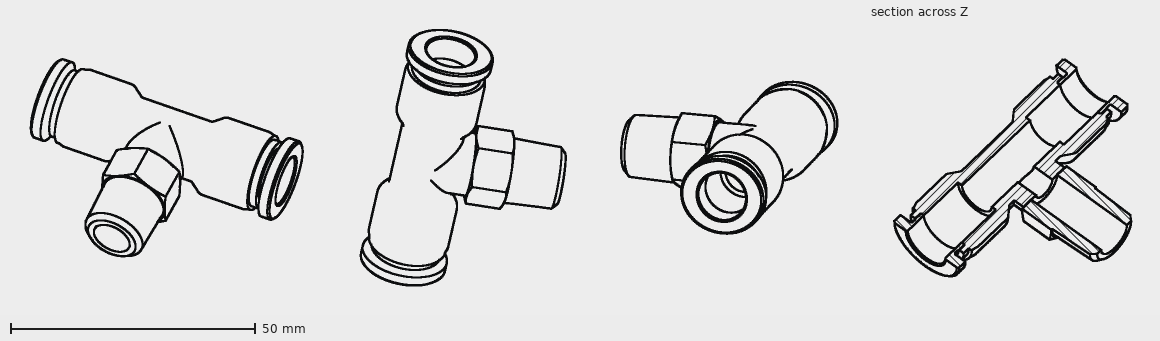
import cadquery as cq
import math


OVERALL_LENGTH = 53.4
HALF_LENGTH = OVERALL_LENGTH / 2
TEE_DIA = 13.0
SOCKET_DIA = 16.7
SOCKET_END_DIA = 16.1
SOCKET_NOSE_DIA = 14.4
TEE_HALF_LENGTH = 8.0
SHOULDER_X = 10.5
SHOULDER_FILLET = 1.05
END_TAPER_START_X = 20.0
END_TAPER_FINISH_X = 21.05
SOCKET_END_X = 21.5
NOSE_END_X = 23.1

FLOW_BORE_DIA = 8.0
TUBE_BORE_DIA = 10.2
TUBE_STOP_X = 10.7
BRANCH_BORE_DIA = 5.0

COLLET_LENGTH = 5.35
COLLET_BORE_DIA = 10.15
COLLET_NECK_DIA = 11.7
COLLET_ENTRY_CHAMFER = 0.3
FLANGE_WIDTH_Y = 17.6
FLANGE_HEIGHT_Z = 16.1
FLANGE_THICKNESS = 2.35
FLANGE_CHAMFER = 0.4
FLANGE_ROOT_FILLET = 0.15
COLLET_INNER_X = HALF_LENGTH - COLLET_LENGTH

STUD_BACK = 9.0
HEX_LENGTH = 7.9
STUD_LENGTH = 18.9
HEX_ACROSS_FLATS = 14.0
HEX_HALF_SIDE_ANGLE = 180 / 6
HEX_ACROSS_CORNERS = HEX_ACROSS_FLATS / math.cos(math.radians(HEX_HALF_SIDE_ANGLE))
HEX_CHAMFER_LENGTH = 0.45
THREAD_BASE_DIA = 13.45
THREAD_TIP_DIA = 12.8
STUD_TIP_CHAMFER = 1.05
STUD_BORE_DIA = 8.0


def cylinder_along_x(diameter, start_x, end_x):
    """Solid cylinder on the run axis between two X positions."""
    return cq.Workplane("YZ", origin=(start_x, 0, 0)).circle(diameter / 2).extrude(end_x - start_x)


def cylinder_along_branch(diameter, start, length):
    """Solid cylinder on the branch axis, beginning `start` from the run axis and pointing to -Y."""
    return cq.Workplane("XZ", origin=(0, -start, 0)).circle(diameter / 2).extrude(length)


def make_run():
    """Outside of the run: tee tube between two shouldered sockets with tapered ends and noses."""
    right_side = [
        (TEE_HALF_LENGTH, TEE_DIA / 2),
        (SHOULDER_X, SOCKET_DIA / 2),
        (END_TAPER_START_X, SOCKET_DIA / 2),
        (END_TAPER_FINISH_X, SOCKET_END_DIA / 2),
        (SOCKET_END_X, SOCKET_END_DIA / 2),
        (SOCKET_END_X, SOCKET_NOSE_DIA / 2),
        (NOSE_END_X, SOCKET_NOSE_DIA / 2),
        (NOSE_END_X, 0),
    ]
    left_side = [(-x, radius) for x, radius in reversed(right_side)]
    run = cq.Workplane("XY").polyline(left_side + right_side).close().revolve(360, (0, 0, 0), (1, 0, 0))
    mid_socket_x = (SHOULDER_X + END_TAPER_START_X) / 2
    shoulders = cq.selectors.BoxSelector(
        (-mid_socket_x, -SOCKET_DIA, -SOCKET_DIA),
        (mid_socket_x, SOCKET_DIA, SOCKET_DIA),
        boundingbox=True,
    )
    return run.edges("%CIRCLE").edges(shoulders).fillet(SHOULDER_FILLET)


def make_housing():
    """Tee housing with collet recesses, tube sockets and flow bores."""
    body = make_run().union(cylinder_along_branch(TEE_DIA, 0, STUD_BACK))
    body = body.cut(cylinder_along_x(FLOW_BORE_DIA, -HALF_LENGTH, HALF_LENGTH))
    body = body.cut(cylinder_along_branch(BRANCH_BORE_DIA, 0, STUD_BACK))
    for side in (-1, 1):
        body = body.cut(cylinder_along_x(TUBE_BORE_DIA, side * TUBE_STOP_X, side * HALF_LENGTH))
        body = body.cut(cylinder_along_x(COLLET_NECK_DIA, side * COLLET_INNER_X, side * HALF_LENGTH))
    return body


def make_collet(side):
    """Release collet on one end of the run: oval flange on a round neck, bored for the tube."""
    root_x = HALF_LENGTH - FLANGE_THICKNESS
    flange = (
        cq.Workplane("YZ", origin=(root_x, 0, 0))
        .ellipse(FLANGE_WIDTH_Y / 2, FLANGE_HEIGHT_Z / 2)
        .extrude(FLANGE_THICKNESS)
        .faces(">X")
        .chamfer(FLANGE_CHAMFER)
    )
    neck = cylinder_along_x(COLLET_NECK_DIA, COLLET_INNER_X, HALF_LENGTH)
    bore = cylinder_along_x(COLLET_BORE_DIA, COLLET_INNER_X, HALF_LENGTH)
    root = cq.selectors.BoxSelector(
        (root_x - FLANGE_ROOT_FILLET, -COLLET_NECK_DIA, -COLLET_NECK_DIA),
        (root_x + FLANGE_ROOT_FILLET, COLLET_NECK_DIA, COLLET_NECK_DIA),
        boundingbox=True,
    )
    collet = flange.union(neck).edges("%CIRCLE").edges(root).fillet(FLANGE_ROOT_FILLET).cut(bore)
    collet = collet.faces(">X").edges("%CIRCLE").chamfer(COLLET_ENTRY_CHAMFER)
    return collet if side > 0 else collet.mirror("YZ")


def make_hexagon():
    """Hexagon with corners on Z and both ends turned to a chamfer that meets the flats' middles."""
    prism = (
        cq.Workplane("XZ", origin=(0, -STUD_BACK, 0))
        .polygon(6, HEX_ACROSS_CORNERS)
        .extrude(HEX_LENGTH)
        .rotate((0, 0, 0), (0, 1, 0), HEX_HALF_SIDE_ANGLE)
    )
    turned = (
        cylinder_along_branch(HEX_ACROSS_CORNERS, STUD_BACK, HEX_LENGTH)
        .edges()
        .chamfer(HEX_CHAMFER_LENGTH, (HEX_ACROSS_CORNERS - HEX_ACROSS_FLATS) / 2)
    )
    return prism.intersect(turned)


def make_stud():
    """Male stud: chamfered hexagon, tapered shank with a chamfered tip, and a through bore."""
    shank_start = STUD_BACK + HEX_LENGTH
    tip = STUD_BACK + STUD_LENGTH
    outline = [
        (0, -shank_start),
        (THREAD_BASE_DIA / 2, -shank_start),
        (THREAD_TIP_DIA / 2, -(tip - STUD_TIP_CHAMFER)),
        (THREAD_TIP_DIA / 2 - STUD_TIP_CHAMFER, -tip),
        (0, -tip),
    ]
    shank = cq.Workplane("XY").polyline(outline).close().revolve(360, (0, 0, 0), (0, 1, 0))
    bore = cylinder_along_branch(STUD_BORE_DIA, STUD_BACK, STUD_LENGTH)
    return make_hexagon().union(shank).cut(bore)


housing = make_housing()
collets = [make_collet(side) for side in (-1, 1)]
stud = make_stud()

result = cq.Compound.makeCompound([housing.val(), *[collet.val() for collet in collets], stud.val()])